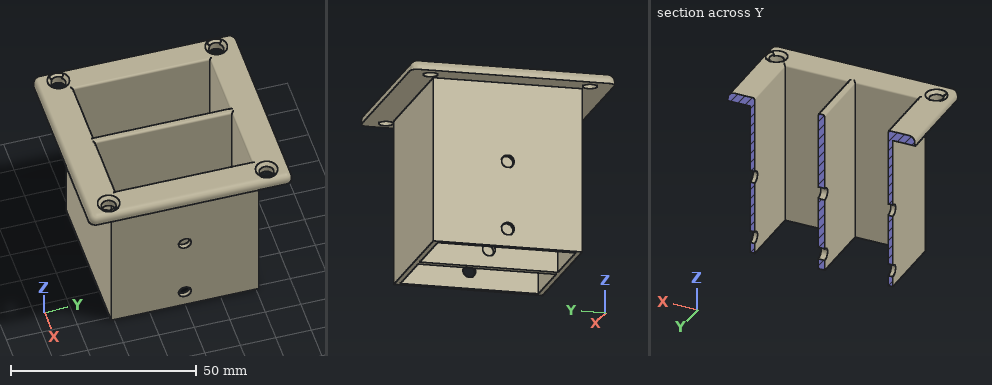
import cadquery as cq
import math

FLANGE_X = 55.96
FLANGE_Y = 57.15
FLANGE_THICKNESS = 3.0
FLANGE_ROUND = 2.0

TOTAL_HEIGHT = 49.0
SLEEVE_X = 42.6
SLEEVE_Y = 41.6

OPENING_X = 18.9
OPENING_Y = 38.5
DIVIDER = 2.0
OPENING_ROUND = 0.7

SCREW_DIAMETER = 4.0
COUNTERSINK = 1.0
SECTOR_DEPTH = 0.6
SCREW_SPACING_X = 47.7
SCREW_SPACING_Y = 44.5

CROSS_DIAMETER = 3.5
CROSS_HEIGHTS = (5.0, 24.0)


def make_flange():
    """Plate with rounded corners and a rounded top rim."""
    return (
        cq.Workplane("XY")
        .box(FLANGE_X, FLANGE_Y, FLANGE_THICKNESS, centered=(True, True, False))
        .translate((0, 0, -FLANGE_THICKNESS))
        .edges("|Z or >Z")
        .fillet(FLANGE_ROUND)
    )


def make_sleeve():
    """Solid block that carries the openings."""
    return (
        cq.Workplane("XY")
        .box(SLEEVE_X, SLEEVE_Y, TOTAL_HEIGHT - FLANGE_THICKNESS, centered=(True, True, False))
        .translate((0, 0, -TOTAL_HEIGHT))
    )


def cut_openings(body):
    """Cut both openings right through and round their top edges."""
    pitch = OPENING_X + DIVIDER
    body = (
        body.faces(">Z")
        .workplane(origin=(0, 0, 0))
        .rarray(pitch, 1, 2, 1)
        .rect(OPENING_X, OPENING_Y)
        .cutThruAll()
    )
    half_x = OPENING_X + DIVIDER / 2
    half_y = OPENING_Y / 2
    margin = OPENING_ROUND / 2
    rim = cq.selectors.BoxSelector(
        (-half_x - margin, -half_y - margin, -margin),
        (half_x + margin, half_y + margin, margin),
    )
    return body.edges(rim).fillet(OPENING_ROUND)


def make_screw_cutter():
    """Screw hole at the origin, with its flange edge towards +X.

    The countersink is a plain cone except where its mouth runs onto the
    rounded rim. There it becomes a shallow sector that follows the rim.
    """
    hole_radius = SCREW_DIAMETER / 2
    mouth_radius = hole_radius + COUNTERSINK
    rim_start = (FLANGE_X - SCREW_SPACING_X) / 2 - FLANGE_ROUND
    overrun = mouth_radius - rim_start
    rim_drop = FLANGE_ROUND - math.sqrt(FLANGE_ROUND**2 - overrun**2)
    half_sector = math.degrees(math.acos(rim_start / mouth_radius))

    drill = cq.Workplane("XY").circle(hole_radius).extrude(-FLANGE_THICKNESS)
    cone = (
        cq.Workplane("XZ")
        .moveTo(0, 0)
        .lineTo(mouth_radius, 0)
        .lineTo(hole_radius, -COUNTERSINK)
        .lineTo(0, -COUNTERSINK)
        .close()
        .revolve(360 - 2 * half_sector, (0, 0), (0, 1))
        .rotate((0, 0, 0), (0, 0, 1), half_sector)
    )
    sector = (
        cq.Workplane("XZ")
        .moveTo(0, 0)
        .lineTo(mouth_radius, 0)
        .lineTo(mouth_radius, -rim_drop)
        .lineTo(hole_radius, -SECTOR_DEPTH)
        .lineTo(0, -SECTOR_DEPTH)
        .close()
        .revolve(2 * half_sector, (0, 0), (0, 1))
        .rotate((0, 0, 0), (0, 0, 1), -half_sector)
    )
    return drill.union(cone).union(sector)


def cut_screw_holes(body):
    """Cut a countersunk hole near each flange corner."""
    right_cutter = make_screw_cutter()
    left_cutter = right_cutter.mirror("YZ")
    x = SCREW_SPACING_X / 2
    for y in (-SCREW_SPACING_Y / 2, SCREW_SPACING_Y / 2):
        body = body.cut(right_cutter.translate((x, y, 0)))
        body = body.cut(left_cutter.translate((-x, y, 0)))
    return body


def cut_cross_holes(body):
    """Cut the holes that run along X through the whole sleeve."""
    for height in CROSS_HEIGHTS:
        drill = (
            cq.Workplane("YZ")
            .center(0, height - TOTAL_HEIGHT)
            .circle(CROSS_DIAMETER / 2)
            .extrude(SLEEVE_X / 2, both=True)
        )
        body = body.cut(drill)
    return body


body = make_flange().union(make_sleeve())
body = cut_openings(body)
body = cut_screw_holes(body)
result = cut_cross_holes(body)